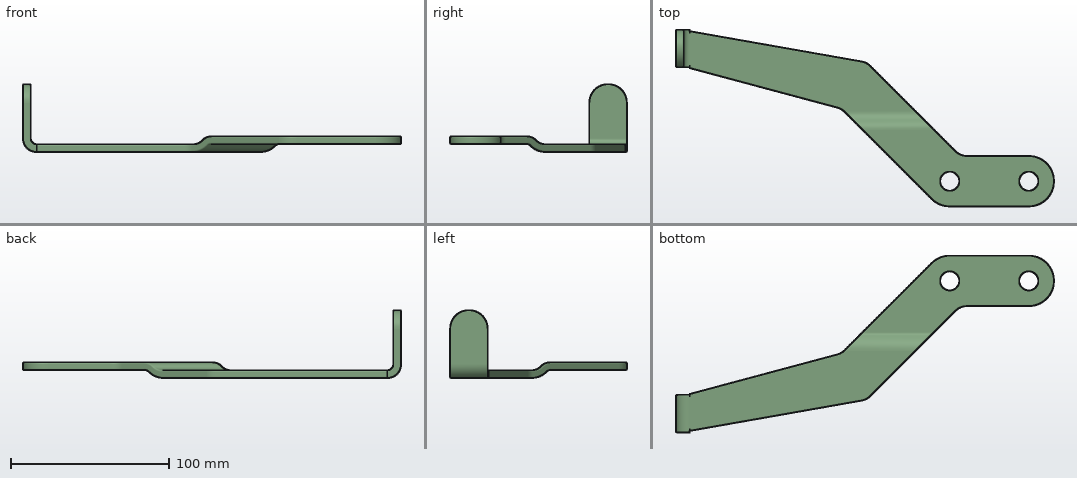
import cadquery as cq
import math

length = 239.0
width = 111.9
height = 43.0
thickness = 5.0
edge_round = 1.0

end_radius = 16.0
hole_diameter = 12.0
hole_spacing = 50.0
end_hole_x = length - end_radius
knee_hole_x = end_hole_x - hole_spacing

tab_width = 24.0
upper_taper = math.tan(math.radians(10))
lower_taper = math.tan(math.radians(15))
corner_radius = 10.0

tab_bend_radius = 3.5
tab_outer_radius = tab_bend_radius + thickness
tab_bottom_y = width - tab_width

arm_top_drop = 1.0
arm_bottom_drop = 0.5
arm_top_y = width - arm_top_drop
arm_bottom_y = tab_bottom_y - arm_bottom_drop

jog_rise = 5.0
jog_start_y = 60.2
jog_run = 11.7
jog_angle = math.radians(45)
jog_radius = (jog_run - jog_rise) / 2 / (math.sin(jog_angle) + math.cos(jog_angle) - 1)
jog_end_y = jog_start_y - jog_run

SHARP_ANGLE = math.radians(30)
JOINT_TOLERANCE = 0.02


def plan_outline():
    """Plan shape of the bracket as a tall prism with its plan corners rounded."""
    strip_offset = end_radius * math.sqrt(2)
    strip_center = knee_hole_x + end_radius
    upper_sum = strip_center + strip_offset
    lower_sum = strip_center - strip_offset
    end_top = 2 * end_radius

    upper_x = (upper_sum - arm_top_y - upper_taper * tab_outer_radius) / (1 - upper_taper)
    lower_x = (lower_sum - arm_bottom_y - lower_taper * tab_outer_radius) / (1 - lower_taper)
    upper_corner = (upper_x, upper_sum - upper_x)
    lower_corner = (lower_x, lower_sum - lower_x)
    inner_knee = (upper_sum - end_top, end_top)

    diagonal = end_radius / math.sqrt(2)
    half_turn = math.radians(22.5)
    knee_middle = (
        knee_hole_x - end_radius * math.sin(half_turn),
        end_radius - end_radius * math.cos(half_turn),
    )
    prism = (
        cq.Workplane("XY")
        .moveTo(tab_outer_radius, arm_top_y)
        .lineTo(*upper_corner)
        .lineTo(*inner_knee)
        .lineTo(end_hole_x, end_top)
        .threePointArc((length, end_radius), (end_hole_x, 0))
        .lineTo(knee_hole_x, 0)
        .threePointArc(knee_middle, (knee_hole_x - diagonal, end_radius - diagonal))
        .lineTo(*lower_corner)
        .lineTo(tab_outer_radius, arm_bottom_y)
        .close()
        .extrude(height)
    )
    for x, y in (upper_corner, lower_corner, inner_knee):
        corner = cq.selectors.NearestToPointSelector((x, y, height / 2))
        prism = prism.edges(corner).fillet(corner_radius)
    return prism


def jogged_sheet():
    """Sheet whose section across Y steps up through two opposite bends."""
    def on_bend(center_y, center_z, radius, angle):
        return (center_y + radius * math.sin(angle), center_z + radius * math.cos(angle))

    low_center = (jog_start_y, thickness + jog_radius)
    high_center = (jog_end_y, thickness + jog_rise - jog_radius)
    low_outer = jog_radius + thickness
    high_inner = jog_radius - thickness

    def low_point(radius, angle):
        return on_bend(*low_center, -radius, angle)

    def high_point(radius, angle):
        return on_bend(*high_center, radius, angle)

    half = jog_angle / 2
    return (
        cq.Workplane("YZ", origin=(tab_outer_radius, 0, 0))
        .moveTo(width, 0)
        .lineTo(width, thickness)
        .lineTo(jog_start_y, thickness)
        .threePointArc(low_point(jog_radius, half), low_point(jog_radius, jog_angle))
        .lineTo(*high_point(jog_radius, jog_angle))
        .threePointArc(high_point(jog_radius, half), high_point(jog_radius, 0))
        .lineTo(0, thickness + jog_rise)
        .lineTo(0, jog_rise)
        .lineTo(jog_end_y, jog_rise)
        .threePointArc(high_point(high_inner, half), high_point(high_inner, jog_angle))
        .lineTo(*low_point(low_outer, jog_angle))
        .threePointArc(low_point(low_outer, half), low_point(low_outer, 0))
        .close()
        .extrude(length - tab_outer_radius)
    )


def bent_tab():
    """Upright tab with a full-round top and the bend down to the arm."""
    bend = cq.Workplane("XY").box(length, width, height, centered=False)
    bend = bend.edges("<X and <Z").fillet(tab_outer_radius)
    inside = (
        cq.Workplane("XY", origin=(thickness, 0, thickness))
        .box(length, width, height, centered=False)
        .edges("<X and <Z")
        .fillet(tab_bend_radius)
    )
    tab_radius = tab_width / 2
    round_start_z = height - tab_radius
    center_y = width - tab_radius
    crown = (
        cq.Workplane("YZ")
        .center(center_y, round_start_z)
        .circle(tab_radius)
        .extrude(tab_outer_radius)
    )
    below_crown = cq.Workplane("XY").box(tab_outer_radius, tab_width, round_start_z, centered=False)
    below_crown = below_crown.translate((0, tab_bottom_y, 0))
    return bend.cut(inside).intersect(crown.union(below_crown)).solids()


def round_sharp_edges(piece):
    """Round all sharp edges except sheet corners and those on the joint between tab and arm."""
    solid = piece.val()
    faces_by_edge = {}
    for face in solid.Faces():
        for edge in face.Edges():
            faces_by_edge.setdefault(edge, []).append(face)
    sharp = []
    for edge, faces in faces_by_edge.items():
        middle = edge.positionAt(0.5)
        on_joint = abs(middle.x - tab_outer_radius) < JOINT_TOLERANCE
        normals = [face.normalAt(middle) for face in faces]
        if not on_joint and normals[0].getAngle(normals[-1]) > SHARP_ANGLE:
            sharp.append(edge)
    return piece.newObject(sharp).fillet(edge_round)


arm = round_sharp_edges(jogged_sheet().intersect(plan_outline()).solids())
tab = round_sharp_edges(bent_tab())
holes = (
    cq.Workplane("XY")
    .pushPoints([(knee_hole_x, end_radius), (end_hole_x, end_radius)])
    .circle(hole_diameter / 2)
    .extrude(height)
)
result = arm.union(tab).cut(holes)